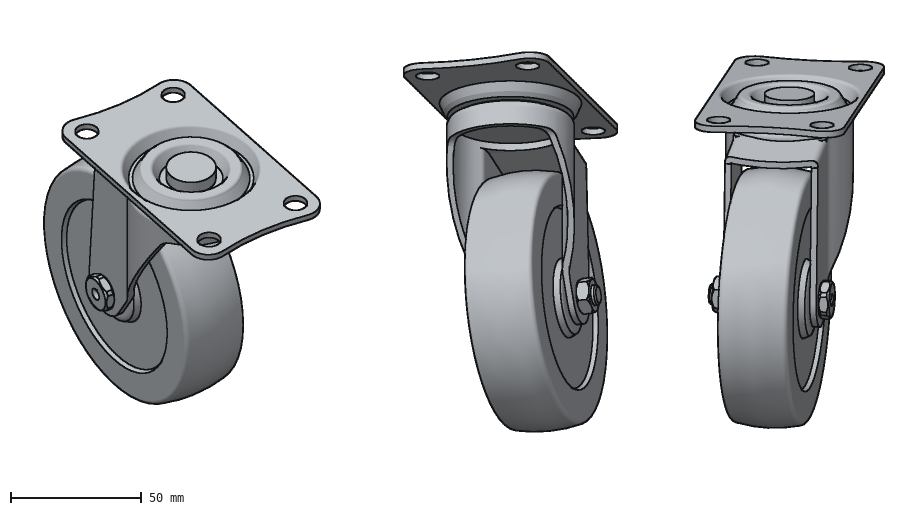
import cadquery as cq
import math

SHEET = 2.5

PLATE_LENGTH = 100.0
PLATE_WIDTH = 58.0
PLATE_CORNER_RADIUS = 7.8
PLATE_WAIST_HALF = 47.8
PLATE_HOLE_RADIUS = 4.5
PLATE_HOLE_X = 41.0
PLATE_HOLE_Y = 20.0
DISH_FLOOR_Z = -5.3
DISH_BOTTOM_Z = DISH_FLOOR_Z - SHEET
DISH_MOUTH_RADIUS = 27.7
DISH_WALL_TOP_RADIUS = 26.0
DISH_FLOOR_OUTER_RADIUS = 23.9
DISH_FLOOR_INNER_RADIUS = 22.5
RIDGE_OUTER_TOP_RADIUS = 19.8
RIDGE_FLAT_OUTER_RADIUS = 18.3
RIDGE_FLAT_INNER_RADIUS = 16.2
CUP_WALL_TOP_RADIUS = 14.5
CUP_FLOOR_RADIUS = 12.1
LIP_DROP = 1.0
LIP_MID_DROP = 0.3
LIP_MID_SHARE = 0.4
DISH_UNDER_TOP_RADIUS = 27.2
DISH_UNDER_BEND_RADIUS = 25.6
DISH_UNDER_BEND_Z = -6.1
DISH_UNDER_FLAT_RADIUS = 24.2
RACE_MOUTH_OUTER_RADIUS = 20.3
RACE_TOP_OUTER_RADIUS = 17.7
RACE_TOP_INNER_RADIUS = 16.9
RACE_MOUTH_INNER_RADIUS = 14.3

WHEEL_RADIUS = 50.0
OVERALL_LENGTH = 132
WHEEL_OFFSET = OVERALL_LENGTH - WHEEL_RADIUS - PLATE_LENGTH / 2
AXLE_X = -WHEEL_OFFSET
AXLE_Z = -71.9
WHEEL_HALF_WIDTH = 13.6
TREAD_EDGE_RADIUS = 48.7
TREAD_FILLET = 2.0
DISC_RADIUS_OUTER = 35.5
DISC_RADIUS_INNER = 34.7
DISC_DEPTH = 1.8
BOSS_RADIUS = 15.3
BOSS_HALF_LENGTH = 14.9
BOSS_TOP_RADIUS = 12.1
BOSS_EDGE_RADIUS = 14.1
BOSS_EDGE_DROP = 0.7

LEG_OUTER_Y = 18.1
LEG_END_RADIUS = 10.5
MARGIN = 1.3
FORK_BOTTOM_Z = AXLE_Z - LEG_END_RADIUS - MARGIN
LEG_TOP_FRONT_X = -38.7
LEG_REAR_ANGLE = 59
LEG_BEND_RADIUS = 4.0
HEAD_RADIUS = 24.4
HEAD_TOP_Z = -8.7
HEAD_FILLET = 2.9
HEAD_BOTTOM_Z = -18.9
HEAD_CORNER_RADIUS = 5.3
ROOF_FRONT_X = -42.2
ROOF_FRONT_Z = -15.3
ROOF_SLOPE = 10.4
ROOF_FILLET = 2.5
NECK_RADIUS = 20.2
KINGPIN_RADIUS = 9.5

BOLT_RADIUS = 4.0
BOLT_END_Y = 25.1
BOLT_END_CHAMFER = 0.7
HEAD_HEIGHT = 4.2
HEAD_ACROSS_FLATS = 13.9
HEAD_TURNED_RADIUS = 7.5
NUT_HEIGHT = 5.1
NUT_ACROSS_FLATS = 12.5
NUT_TURNED_RADIUS = 7.3
HEX_CHAMFER = 0.9
CENTER_DRILL_RADIUS = 2.4
CENTER_DRILL_DEPTH = 2.4


def axle_cylinder(radius, y_start, y_end):
    """Cylinder around the wheel axle between two Y positions."""
    return cq.Workplane(cq.Solid.makeCylinder(
        radius, y_end - y_start, cq.Vector(AXLE_X, y_start, AXLE_Z), cq.Vector(0, 1, 0)))


def plate_outline():
    """Rectangle with round corners and two hollow ends tangent to the corners."""
    top_y = PLATE_WIDTH / 2
    corner_x = PLATE_LENGTH / 2 - PLATE_CORNER_RADIUS
    corner_y = top_y - PLATE_CORNER_RADIUS
    gap = PLATE_WAIST_HALF - corner_x
    hollow_radius = (gap**2 + corner_y**2 - PLATE_CORNER_RADIUS**2) / (2 * (PLATE_CORNER_RADIUS - gap))
    tilt = math.asin(corner_y / (hollow_radius + PLATE_CORNER_RADIUS))
    end_x = corner_x + PLATE_CORNER_RADIUS * math.cos(tilt)
    end_y = corner_y - PLATE_CORNER_RADIUS * math.sin(tilt)
    middle_angle = (math.pi / 2 - tilt) / 2
    mid_x = corner_x + PLATE_CORNER_RADIUS * math.cos(middle_angle)
    mid_y = corner_y + PLATE_CORNER_RADIUS * math.sin(middle_angle)
    return (
        cq.Workplane("XY")
        .moveTo(-corner_x, top_y)
        .lineTo(corner_x, top_y)
        .threePointArc((mid_x, mid_y), (end_x, end_y))
        .threePointArc((PLATE_WAIST_HALF, 0), (end_x, -end_y))
        .threePointArc((mid_x, -mid_y), (corner_x, -top_y))
        .lineTo(-corner_x, -top_y)
        .threePointArc((-mid_x, -mid_y), (-end_x, -end_y))
        .threePointArc((-PLATE_WAIST_HALF, 0), (-end_x, end_y))
        .threePointArc((-mid_x, mid_y), (-corner_x, top_y))
        .close()
    )


def pressed_dish():
    """Ring-shaped dish with a raised ridge and a central cup, pressed from the sheet."""
    def lip_middle(wall_radius, flat_radius):
        return (wall_radius + LIP_MID_SHARE * (flat_radius - wall_radius), -LIP_MID_DROP)

    return (
        cq.Workplane("XZ")
        .moveTo(KINGPIN_RADIUS, DISH_FLOOR_Z)
        .lineTo(CUP_FLOOR_RADIUS, DISH_FLOOR_Z)
        .lineTo(CUP_WALL_TOP_RADIUS, -LIP_DROP)
        .threePointArc(lip_middle(CUP_WALL_TOP_RADIUS, RIDGE_FLAT_INNER_RADIUS), (RIDGE_FLAT_INNER_RADIUS, 0))
        .lineTo(RIDGE_FLAT_OUTER_RADIUS, 0)
        .threePointArc(
            lip_middle(RIDGE_OUTER_TOP_RADIUS, RIDGE_FLAT_OUTER_RADIUS), (RIDGE_OUTER_TOP_RADIUS, -LIP_DROP))
        .lineTo(DISH_FLOOR_INNER_RADIUS, DISH_FLOOR_Z)
        .lineTo(DISH_FLOOR_OUTER_RADIUS, DISH_FLOOR_Z)
        .lineTo(DISH_WALL_TOP_RADIUS, -LIP_DROP)
        .threePointArc(lip_middle(DISH_WALL_TOP_RADIUS, DISH_MOUTH_RADIUS), (DISH_MOUTH_RADIUS, 0))
        .lineTo(DISH_MOUTH_RADIUS, -SHEET)
        .lineTo(DISH_UNDER_TOP_RADIUS, -SHEET)
        .lineTo(DISH_UNDER_BEND_RADIUS, DISH_UNDER_BEND_Z)
        .lineTo(DISH_UNDER_FLAT_RADIUS, DISH_BOTTOM_Z)
        .lineTo(RACE_MOUTH_OUTER_RADIUS, DISH_BOTTOM_Z)
        .lineTo(RACE_TOP_OUTER_RADIUS, -SHEET)
        .lineTo(RACE_TOP_INNER_RADIUS, -SHEET)
        .lineTo(RACE_MOUTH_INNER_RADIUS, DISH_BOTTOM_Z)
        .lineTo(KINGPIN_RADIUS, DISH_BOTTOM_Z)
        .close()
        .revolve(360, (0, 0), (0, 1))
    )


def make_plate():
    flat = (
        plate_outline().extrude(-SHEET)
        .cut(cq.Workplane("XY").circle(DISH_MOUTH_RADIUS).extrude(-SHEET))
    )
    holes = (
        cq.Workplane("XY")
        .rect(2 * PLATE_HOLE_X, 2 * PLATE_HOLE_Y, forConstruction=True)
        .vertices().circle(PLATE_HOLE_RADIUS).extrude(-SHEET)
    )
    return flat.cut(holes).union(pressed_dish())


def roof_z(x):
    return ROOF_FRONT_Z + (x - ROOF_FRONT_X) * math.tan(math.radians(ROOF_SLOPE))


def fork_bell(inset):
    """Solid bell bounded by the fork's outer face moved inward by `inset`."""
    head_radius = HEAD_RADIUS - inset
    half_width = LEG_OUTER_Y - inset
    top_z = HEAD_TOP_Z - inset
    shoulder_z = top_z - HEAD_FILLET
    front_x = ROOF_FRONT_X - MARGIN
    slope = math.tan(math.radians(ROOF_SLOPE))
    drop = inset / math.cos(math.radians(ROOF_SLOPE))
    roof_end_x = ROOF_FRONT_X + (shoulder_z + drop - ROOF_FRONT_Z) / slope

    bend_x = -math.sqrt(head_radius**2 - half_width**2)
    bend_area = cq.selectors.BoxSelector(
        (bend_x - MARGIN, -head_radius, -MARGIN), (bend_x + MARGIN, head_radius, MARGIN))
    plan = (
        cq.Sketch()
        .circle(head_radius)
        .push([(front_x / 2, 0)])
        .rect(-front_x, 2 * half_width)
        .reset()
        .clean()
        .vertices(bend_area)
        .fillet(LEG_BEND_RADIUS)
    )
    walls = cq.Workplane("XY", origin=(0, 0, shoulder_z)).placeSketch(plan).extrude(FORK_BOTTOM_Z - shoulder_z)
    above_roof = (
        cq.Workplane("XZ")
        .moveTo(front_x, roof_z(front_x) - drop)
        .lineTo(roof_end_x, shoulder_z)
        .lineTo(front_x, shoulder_z)
        .close()
        .extrude(HEAD_RADIUS, both=True)
    )
    head = cq.Workplane("XY", origin=(0, 0, top_z)).circle(head_radius).extrude(HEAD_BOTTOM_Z - top_z)
    arm = walls.cut(above_roof)
    if inset == 0:
        head = head.faces(">Z").edges().fillet(HEAD_FILLET)
        slope_line = cq.Vector(1, 0, slope)
        arm = arm.edges(cq.selectors.ParallelDirSelector(slope_line)).fillet(ROOF_FILLET)
    return arm.union(head)


def leg_profile():
    """Side outline of the legs: round end at the axle, leaning front edge, slanted rear edge."""
    roof_top = 0
    front_z = roof_z(LEG_TOP_FRONT_X) - SHEET
    dx = LEG_TOP_FRONT_X - AXLE_X
    dz = front_z - AXLE_Z
    front_normal = math.atan2(dz, dx) + math.acos(LEG_END_RADIUS / math.hypot(dx, dz))
    rear_normal = math.radians(LEG_REAR_ANGLE - 90)

    def on_end(angle):
        return (AXLE_X + LEG_END_RADIUS * math.cos(angle), AXLE_Z + LEG_END_RADIUS * math.sin(angle))

    rear_x, rear_z = on_end(rear_normal)
    corner_x = rear_x + (HEAD_BOTTOM_Z - rear_z) / math.tan(math.radians(LEG_REAR_ANGLE))
    return (
        cq.Workplane("XZ")
        .moveTo(LEG_TOP_FRONT_X, roof_top)
        .lineTo(LEG_TOP_FRONT_X, front_z)
        .lineTo(*on_end(front_normal))
        .threePointArc((AXLE_X, AXLE_Z - LEG_END_RADIUS), (rear_x, rear_z))
        .lineTo(corner_x, HEAD_BOTTOM_Z)
        .lineTo(HEAD_RADIUS, HEAD_BOTTOM_Z)
        .lineTo(HEAD_RADIUS, roof_top)
        .close()
        .extrude(HEAD_RADIUS + MARGIN, both=True)
        .edges(cq.selectors.NearestToPointSelector((corner_x, 0, HEAD_BOTTOM_Z)))
        .fillet(HEAD_CORNER_RADIUS)
    )


def roof_front():
    """Zone of the roof in front of the legs, ending in a shallow arc."""
    lowest_z = roof_z(ROOF_FRONT_X) - SHEET / math.cos(math.radians(ROOF_SLOPE))
    return (
        cq.Workplane("XY", origin=(0, 0, lowest_z))
        .moveTo(LEG_TOP_FRONT_X, LEG_OUTER_Y)
        .threePointArc((ROOF_FRONT_X, 0), (LEG_TOP_FRONT_X, -LEG_OUTER_Y))
        .close()
        .extrude(-lowest_z)
    )


def make_fork():
    shell = fork_bell(0).cut(fork_bell(SHEET))
    shell = shell.intersect(leg_profile().union(roof_front()))
    neck = (
        cq.Workplane("XY", origin=(0, 0, HEAD_TOP_Z - SHEET))
        .circle(NECK_RADIUS)
        .extrude(DISH_BOTTOM_Z - HEAD_TOP_Z + SHEET)
    )
    kingpin = cq.Workplane("XY", origin=(0, 0, DISH_BOTTOM_Z)).circle(KINGPIN_RADIUS).extrude(-DISH_BOTTOM_Z)
    bolt_hole = axle_cylinder(BOLT_RADIUS, -HEAD_RADIUS, HEAD_RADIUS)
    return shell.union(neck).union(kingpin).cut(bolt_hole)


def make_wheel():
    """Crowned wheel with a recessed disc and a projecting boss on both faces."""
    face = WHEEL_HALF_WIDTH
    tread_edge = face - TREAD_FILLET
    disc = face - DISC_DEPTH
    bend = math.sqrt(0.5)
    tread_bend_r = TREAD_EDGE_RADIUS - TREAD_FILLET * (1 - bend)
    tread_bend_y = tread_edge + TREAD_FILLET * bend
    boss_edge = BOSS_HALF_LENGTH - BOSS_EDGE_DROP
    boss_round = ((BOSS_EDGE_RADIUS - BOSS_TOP_RADIUS) ** 2 + BOSS_EDGE_DROP**2) / (2 * BOSS_EDGE_DROP)
    section = (
        cq.Workplane("XY")
        .moveTo(BOLT_RADIUS, -BOSS_HALF_LENGTH)
        .lineTo(BOSS_TOP_RADIUS, -BOSS_HALF_LENGTH)
        .radiusArc((BOSS_EDGE_RADIUS, -boss_edge), -boss_round)
        .lineTo(BOSS_RADIUS, -disc)
        .lineTo(DISC_RADIUS_INNER, -disc)
        .lineTo(DISC_RADIUS_OUTER, -face)
        .lineTo(TREAD_EDGE_RADIUS - TREAD_FILLET, -face)
        .threePointArc((tread_bend_r, -tread_bend_y), (TREAD_EDGE_RADIUS, -tread_edge))
        .threePointArc((WHEEL_RADIUS, 0), (TREAD_EDGE_RADIUS, tread_edge))
        .threePointArc((tread_bend_r, tread_bend_y), (TREAD_EDGE_RADIUS - TREAD_FILLET, face))
        .lineTo(DISC_RADIUS_OUTER, face)
        .lineTo(DISC_RADIUS_INNER, disc)
        .lineTo(BOSS_RADIUS, disc)
        .lineTo(BOSS_EDGE_RADIUS, boss_edge)
        .radiusArc((BOSS_TOP_RADIUS, BOSS_HALF_LENGTH), -boss_round)
        .lineTo(BOLT_RADIUS, BOSS_HALF_LENGTH)
        .close()
    )
    return section.revolve(360, (0, 0), (0, 1)).translate((AXLE_X, 0, AXLE_Z))


def hex_block(y_start, y_end, across_flats, turned_radius):
    """Hexagon on the axle with a corner upward, turned to a radius with both ends chamfered."""
    corner_radius = across_flats / math.sqrt(3)
    hexagon = (
        cq.Workplane("XZ", origin=(AXLE_X, y_start, AXLE_Z))
        .transformed(rotate=(0, 0, 90))
        .polygon(6, 2 * corner_radius)
        .extrude(y_start - y_end)
    )
    turned = axle_cylinder(turned_radius, y_start, y_end).faces("|Y").chamfer(HEX_CHAMFER)
    return hexagon.intersect(turned)


def make_bolt():
    head_face_y = -LEG_OUTER_Y - HEAD_HEIGHT
    head = hex_block(head_face_y, -LEG_OUTER_Y, HEAD_ACROSS_FLATS, HEAD_TURNED_RADIUS)
    shank = axle_cylinder(BOLT_RADIUS, -LEG_OUTER_Y, BOLT_END_Y)
    shank = shank.faces(">Y").chamfer(BOLT_END_CHAMFER)
    center_drill = cq.Workplane(cq.Solid.makeCone(
        CENTER_DRILL_RADIUS, 0, CENTER_DRILL_DEPTH,
        cq.Vector(AXLE_X, head_face_y, AXLE_Z), cq.Vector(0, 1, 0)))
    return head.union(shank).cut(center_drill)


def make_nut():
    end_y = LEG_OUTER_Y + NUT_HEIGHT
    nut = hex_block(LEG_OUTER_Y, end_y, NUT_ACROSS_FLATS, NUT_TURNED_RADIUS)
    return nut.cut(axle_cylinder(BOLT_RADIUS, LEG_OUTER_Y, end_y))


plate = make_plate()
fork = make_fork()
wheel = make_wheel()
bolt = make_bolt()
nut = make_nut()

bodies = [plate, fork, wheel, bolt, nut]
result = cq.Compound.makeCompound([body.solids().val() for body in bodies])